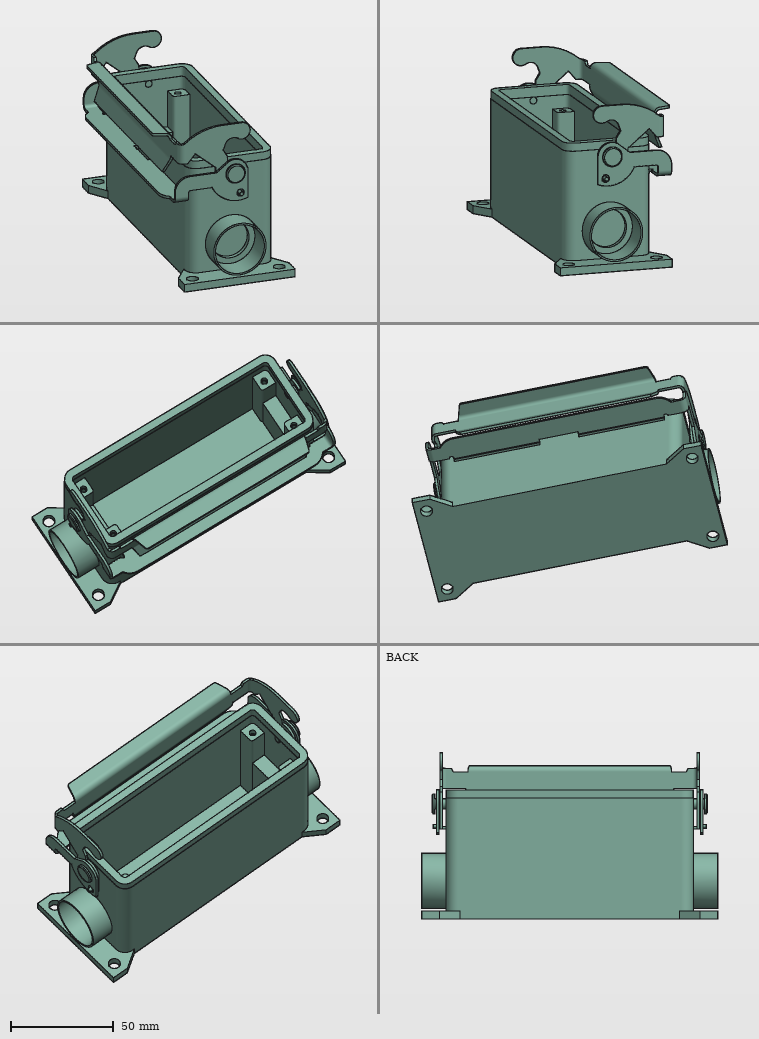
import cadquery as cq
import math

LENGTH = 144.0
BASE_WIDTH = 57.3
BASE_HEIGHT = 4.0
TAB_FLAT = 8.8
TAB_REACH = 18.7
MOUNT_HOLE_X = 66.2
MOUNT_HOLE_Y = 22.5
MOUNT_HOLE_D = 5.8

BODY_LENGTH = 120.4
BODY_WIDTH = 44.4
BODY_HEIGHT = 62.8
BODY_CORNER_R = 5.8
WALL = 4.0
RIM_STEP = 0.1
RIM_DEPTH_OUTSIDE = 4.0
RIM_DEPTH_INSIDE = 5.0
RIM_CORNER_R = 1.7
CAVITY_CORNER_R = 2.3

POST_LENGTH = 7.9
POST_WIDTH = 8.4
POST_CORNER_R = 1.5
POST_TOP = 51.0
SCREW_X = 52.0
SCREW_Y = 13.5
SCREW_MOUTH_D = 3.2
SCREW_MOUTH_DEPTH = 2.9
SCREW_D = 2.2
SCREW_DEPTH = 14.4
LEDGE_LENGTH = 7.3

SLEEVE_Z = 18.6
SLEEVE_R = 13.5
SLEEVE_BORE_R = 12.7
SLEEVE_BORE_DEPTH = 13.4
ENTRY_R = 9.6

BODY_END = BODY_LENGTH / 2
BODY_FRONT = -BODY_WIDTH / 2
CAVITY_LENGTH = BODY_LENGTH - 2 * WALL
CAVITY_WIDTH = BODY_WIDTH - 2 * WALL
CAVITY_END = CAVITY_LENGTH / 2
LEDGE_TOP = SLEEVE_Z + SLEEVE_R

SHEET = 1.3
SHEET_GAP = 0.5
BEND_R = 3.0
INNER_BEND_R = BEND_R - SHEET
PIVOT_Z = 56.0
PIVOT_PIN_R = 1.7
COLLAR_R = 2.6
COLLAR_LENGTH = 1.6
RIVET_HEAD_R = 4.9
RIVET_HEAD_GAP = 0.7
RIVET_HEAD_THICKNESS = 1.5
RIVET_HEAD_CHAMFER = 0.6
STOP_Y = 3.0
STOP_Z = 45.0
STOP_R = 1.0
STOP_LENGTH = 3.3
STOP_HOLE_R = 1.9

HOOK_INSIDE = BODY_END + COLLAR_LENGTH
HOOK_OUTSIDE = HOOK_INSIDE + SHEET
ARM_INSIDE = HOOK_OUTSIDE + SHEET_GAP
ARM_OUTSIDE = ARM_INSIDE + SHEET

HOOK_LUG_BACK = 5.8
LUG_BOTTOM = 43.8
TIP_R = 4.3
TIP_Y = 4.3
HOOK_TOP = 81.0
CATCH_R = 4.6
CATCH_Z = 69.1
BACK_EDGE_START = (-25.5, 73.7)
BACK_EDGE_MIDDLE = (-16.4, 79.0)
BACK_EDGE_END_Y = -5.9
CATCH_END = (-4.5, 70.3)
THROAT = (-5.3, 68.0)
NECK_TOP = (-3.2, 64.5)
NECK_BOTTOM = (-3.0, 61.0)
LUG_TOP = (2.9, 61.0)
LUG_HEEL = (-6.5, 47.5)
LUG_FRONT_BOTTOM = (-9.0, 54.3)
LUG_FRONT_TOP = (-9.0, 59.0)
GAP_PEAK = (-19.9, 68.0)
GAP_FRONT_Y = -23.8
FRONT_Y = -28.1
FRONT_TOP = 73.3
FRONT_BOTTOM = 63.4
NOTCH_HALF_TOP = 57.5
NOTCH_HALF_BOTTOM = 56.6
FLANGE_TOP = 74.6
NOTCH_BOTTOM = FLANGE_TOP - BEND_R
FLANGE_Y = -35.9
FLANGE_HALF_BACK = 49.5
FLANGE_HALF_FRONT = 46.8
SKIRT_BEND_Z = 61.5
SKIRT_TIP_Y = -31.4
SKIRT_TIP_Z = 54.5
SKIRT_HALF_TOP = 50.7
SKIRT_HALF_BOTTOM = 47.7
SKIRT_BEND_R = 2.2
FLANGE_CORNER_R = 1.5

ARM_TOP = 57.2
ARM_BOTTOM = 49.8
LEG_BACK = -23.9
LEG_FRONT = -30.8
ARM_CORNER_R = 7.5
ARM_HEAD_R = 6.9
ARM_SHOULDER_Y = -9.5
ARM_SHOULDER_TOP = (-3.0, 62.2)
ARM_HEAD_ANGLE = 60
ARM_HEEL_BACK_Z = 42.2
ARM_HEEL_MIDDLE = (-5.5, 43.0)
ARM_HEEL_FRONT_Y = -11.7
LEG_CORNER_R = 1.0
BAR_BOTTOM = 43.8
BAR_FRONT = -34.4
BAR_STEP_HALF = 57.5
BAR_WIDE_HALF = 50.8
BAR_ARC_X = 54.6
BAR_ARC_Y = -33.4
RELIEF_HALF = 9.6
RELIEF_Y = -24.8
LIP_END = 52.4
LIP_RELIEF_R = 1.0
LIP_BOTTOM = 42.9
LIP_Y = -22.3
LIP_THICKNESS = 1.2
LIP_BEND_MIDDLE = (-22.8, 44.6)
LIP_BEND_END_Z = 43.8

BAR_TOP = BAR_BOTTOM + SHEET
FRONT_INSIDE = FRONT_Y + SHEET


def block(x0, x1, y0, y1, z0, z1):
    """Box between two opposite corners."""
    return cq.Workplane("XY").box(x1 - x0, y1 - y0, z1 - z0, centered=False).translate((x0, y0, z0))


def rod(side, start, length, radius, y, z):
    """Cylinder along X on one side of the part, running outward from the distance `start`."""
    plane = cq.Workplane("YZ", origin=(side * start, y, z))
    return plane.circle(radius).extrude(side * length)


def at_side(solid, side):
    """Leave a part of the +X side in place, or mirror it to the -X side."""
    return solid if side > 0 else solid.mirror("YZ")


def base_tab(side):
    end = LENGTH / 2
    half = BASE_WIDTH / 2
    outline = [
        (end, half),
        (end - TAB_FLAT, half),
        (end - TAB_REACH, -BODY_FRONT),
        (end - TAB_REACH, BODY_FRONT),
        (end - TAB_FLAT, -half),
        (end, -half),
    ]
    tab = cq.Workplane("XY").polyline(outline).close().extrude(BASE_HEIGHT)
    holes = [(MOUNT_HOLE_X, MOUNT_HOLE_Y), (MOUNT_HOLE_X, -MOUNT_HOLE_Y)]
    tab = tab.faces(">Z").workplane(origin=(0, 0, BASE_HEIGHT)).pushPoints(holes).hole(MOUNT_HOLE_D)
    return at_side(tab, side)


def rounded_box(length, width, corner, bottom, top):
    box = cq.Workplane("XY").workplane(offset=bottom).rect(length, width).extrude(top - bottom)
    return box.edges("|Z").fillet(corner)


def outer_walls():
    step_z = BODY_HEIGHT - RIM_DEPTH_OUTSIDE
    lower = rounded_box(BODY_LENGTH, BODY_WIDTH, BODY_CORNER_R, 0, step_z)
    rim_length = BODY_LENGTH - 2 * RIM_STEP
    rim_width = BODY_WIDTH - 2 * RIM_STEP
    rim = rounded_box(rim_length, rim_width, BODY_CORNER_R - RIM_STEP, step_z, BODY_HEIGHT)
    return lower.union(rim)


def cavity():
    step_z = BODY_HEIGHT - RIM_DEPTH_INSIDE
    mouth = rounded_box(CAVITY_LENGTH, CAVITY_WIDTH, RIM_CORNER_R, step_z, BODY_HEIGHT)
    lower_length = CAVITY_LENGTH + 2 * RIM_STEP
    lower_width = CAVITY_WIDTH + 2 * RIM_STEP
    lower = rounded_box(lower_length, lower_width, CAVITY_CORNER_R, BASE_HEIGHT, step_z)
    return mouth.union(lower)


def screw_post(side_x, side_y):
    half_width = CAVITY_WIDTH / 2
    inner_x = CAVITY_END - POST_LENGTH
    inner_y = half_width - POST_WIDTH
    overlap = WALL / 2
    post = block(inner_x, CAVITY_END + overlap, inner_y, half_width + overlap, BASE_HEIGHT, POST_TOP)
    post = post.edges("|Z and <X and <Y").fillet(POST_CORNER_R)
    top = cq.Workplane("XY", origin=(SCREW_X, SCREW_Y, POST_TOP))
    mouth = top.circle(SCREW_MOUTH_D / 2).extrude(-SCREW_MOUTH_DEPTH)
    thread = top.circle(SCREW_D / 2).extrude(-SCREW_DEPTH)
    post = at_side(post.cut(mouth).cut(thread), side_x)
    return post if side_y > 0 else post.mirror("XZ")


def end_ledge(side):
    """Low thick wall between two posts, which closes the cable entry."""
    half_gap = CAVITY_WIDTH / 2 - POST_WIDTH
    inner = CAVITY_END - LEDGE_LENGTH
    ledge = block(inner, CAVITY_END + WALL / 2, -half_gap, half_gap, BASE_HEIGHT, LEDGE_TOP)
    return at_side(ledge, side)


def make_housing():
    housing = outer_walls().cut(cavity())
    bore_end = LENGTH / 2 - SLEEVE_BORE_DEPTH
    for side in (-1, 1):
        housing = housing.union(base_tab(side)).union(end_ledge(side))
        for side_y in (-1, 1):
            housing = housing.union(screw_post(side, side_y))
        sleeve_start = BODY_END - WALL / 2
        sleeve = rod(side, sleeve_start, LENGTH / 2 - sleeve_start, SLEEVE_R, 0, SLEEVE_Z)
        housing = housing.union(sleeve)
        housing = housing.cut(rod(side, bore_end, SLEEVE_BORE_DEPTH, SLEEVE_BORE_R, 0, SLEEVE_Z))
        housing = housing.cut(rod(side, CAVITY_END, WALL, ENTRY_R, 0, SLEEVE_Z))
        housing = housing.cut(rod(side, CAVITY_END, WALL, PIVOT_PIN_R, 0, PIVOT_Z))
    return housing


def hook_outline():
    """Side outline of the hooks and of the front wall, extruded over the whole length."""
    tip_z = HOOK_TOP - TIP_R
    share = TIP_R / (TIP_R + CATCH_R)
    blend = (TIP_Y * (1 - share), tip_z + share * (CATCH_Z - tip_z))
    outline = (
        cq.Workplane("YZ", origin=(-HOOK_OUTSIDE, 0, 0))
        .moveTo(FRONT_Y, FRONT_BOTTOM)
        .lineTo(FRONT_Y, FRONT_TOP)
        .lineTo(FRONT_INSIDE, FRONT_TOP)
        .lineTo(*BACK_EDGE_START)
        .threePointArc(BACK_EDGE_MIDDLE, (BACK_EDGE_END_Y, HOOK_TOP))
        .lineTo(TIP_Y, HOOK_TOP)
        .threePointArc((TIP_Y + TIP_R, tip_z), blend)
        .threePointArc((0, CATCH_Z + CATCH_R), CATCH_END)
        .lineTo(*THROAT)
        .lineTo(*NECK_TOP)
        .lineTo(*NECK_BOTTOM)
        .threePointArc(LUG_TOP, (HOOK_LUG_BACK, PIVOT_Z))
        .lineTo(HOOK_LUG_BACK, LUG_BOTTOM)
        .lineTo(0, LUG_BOTTOM)
        .threePointArc(LUG_HEEL, LUG_FRONT_BOTTOM)
        .lineTo(*LUG_FRONT_TOP)
        .lineTo(*GAP_PEAK)
        .lineTo(GAP_FRONT_Y, FRONT_BOTTOM)
        .close()
    )
    return outline.extrude(2 * HOOK_OUTSIDE)


def hook_yoke():
    """Two hooks and the front wall, bent from one strip."""
    back = TIP_Y + TIP_R
    outer = block(-HOOK_OUTSIDE, HOOK_OUTSIDE, FRONT_Y, back, LUG_BOTTOM, HOOK_TOP)
    outer = outer.edges("|Z and <Y").fillet(BEND_R)
    inner = block(-HOOK_INSIDE, HOOK_INSIDE, FRONT_INSIDE, back, LUG_BOTTOM, HOOK_TOP)
    inner = inner.edges("|Z and <Y").fillet(INNER_BEND_R)
    yoke = outer.cut(inner).intersect(hook_outline())
    notch = (
        cq.Workplane("XZ", origin=(0, FRONT_INSIDE, 0))
        .polyline([
            (-NOTCH_HALF_BOTTOM, NOTCH_BOTTOM),
            (NOTCH_HALF_BOTTOM, NOTCH_BOTTOM),
            (NOTCH_HALF_TOP, FRONT_TOP),
            (-NOTCH_HALF_TOP, FRONT_TOP),
        ])
        .close()
        .extrude(SHEET)
    )
    return yoke.cut(notch)


def top_flange():
    """Grip flange bent forward from the top of the front wall."""
    diagonal = math.sqrt(0.5)
    centre_y = FRONT_INSIDE - BEND_R
    section = (
        cq.Workplane("YZ", origin=(-FLANGE_HALF_BACK, 0, 0))
        .moveTo(FRONT_INSIDE, NOTCH_BOTTOM)
        .threePointArc(
            (centre_y + BEND_R * diagonal, NOTCH_BOTTOM + BEND_R * diagonal), (centre_y, FLANGE_TOP)
        )
        .lineTo(FLANGE_Y, FLANGE_TOP)
        .lineTo(FLANGE_Y, FLANGE_TOP - SHEET)
        .lineTo(centre_y, FLANGE_TOP - SHEET)
        .threePointArc(
            (centre_y + INNER_BEND_R * diagonal, NOTCH_BOTTOM + INNER_BEND_R * diagonal),
            (FRONT_Y, NOTCH_BOTTOM),
        )
        .close()
        .extrude(2 * FLANGE_HALF_BACK)
    )
    plan = (
        cq.Workplane("XY", origin=(0, 0, NOTCH_BOTTOM))
        .polyline([
            (-FLANGE_HALF_BACK, FRONT_INSIDE),
            (FLANGE_HALF_BACK, FRONT_INSIDE),
            (FLANGE_HALF_FRONT, FLANGE_Y),
            (-FLANGE_HALF_FRONT, FLANGE_Y),
        ])
        .close()
        .extrude(FLANGE_TOP - NOTCH_BOTTOM)
        .edges("|Z and <Y")
        .fillet(FLANGE_CORNER_R)
    )
    return section.intersect(plan)


def skirt():
    """Lower edge of the front wall, bent outward and narrowing downward."""
    lean_y = SKIRT_TIP_Y - FRONT_Y
    lean_z = SKIRT_TIP_Z - SKIRT_BEND_Z
    lean = math.hypot(lean_y, lean_z)
    back_tip = (SKIRT_TIP_Y - SHEET * lean_z / lean, SKIRT_TIP_Z + SHEET * lean_y / lean)
    back_bend_z = SKIRT_BEND_Z - SHEET * (lean + lean_z) / -lean_y
    section = (
        cq.Workplane("YZ", origin=(-SKIRT_HALF_TOP, 0, 0))
        .polyline([
            (FRONT_INSIDE, FRONT_BOTTOM),
            (FRONT_Y, FRONT_BOTTOM),
            (FRONT_Y, SKIRT_BEND_Z),
            (SKIRT_TIP_Y, SKIRT_TIP_Z),
            back_tip,
            (FRONT_INSIDE, back_bend_z),
        ])
        .close()
        .extrude(2 * SKIRT_HALF_TOP)
    )
    front_bend = cq.selectors.NearestToPointSelector((0, FRONT_Y, SKIRT_BEND_Z))
    back_bend = cq.selectors.NearestToPointSelector((0, FRONT_INSIDE, back_bend_z))
    section = section.edges(front_bend).fillet(SKIRT_BEND_R)
    section = section.edges(back_bend).fillet(SKIRT_BEND_R + SHEET)
    face = (
        cq.Workplane("XZ", origin=(0, FRONT_INSIDE, 0))
        .polyline([
            (-SKIRT_HALF_TOP, FRONT_BOTTOM),
            (SKIRT_HALF_TOP, FRONT_BOTTOM),
            (SKIRT_HALF_BOTTOM, back_tip[1]),
            (-SKIRT_HALF_BOTTOM, back_tip[1]),
        ])
        .close()
        .extrude(FRONT_INSIDE - SKIRT_TIP_Y)
        .edges("|Y and <Z")
        .fillet(FLANGE_CORNER_R)
    )
    return section.intersect(face)


def side_arm(side):
    """Flat arm outside a hook, from the pivot to the leg that carries the crossbar."""
    bend_z = BAR_BOTTOM + BEND_R
    angle = math.radians(ARM_HEAD_ANGLE)
    head_arc = (ARM_HEAD_R * math.cos(angle), PIVOT_Z + ARM_HEAD_R * math.sin(angle))
    arm = (
        cq.Workplane("YZ", origin=(ARM_INSIDE, 0, 0))
        .moveTo(LEG_FRONT, bend_z)
        .lineTo(LEG_FRONT, ARM_TOP - ARM_CORNER_R)
        .tangentArcPoint((LEG_FRONT + ARM_CORNER_R, ARM_TOP), relative=False)
        .lineTo(ARM_SHOULDER_Y, ARM_TOP)
        .lineTo(*ARM_SHOULDER_TOP)
        .threePointArc(head_arc, (ARM_HEAD_R, PIVOT_Z))
        .lineTo(ARM_HEAD_R, ARM_HEEL_BACK_Z)
        .threePointArc(ARM_HEEL_MIDDLE, (ARM_HEEL_FRONT_Y, ARM_BOTTOM))
        .lineTo(LEG_BACK + LEG_CORNER_R, ARM_BOTTOM)
        .tangentArcPoint((LEG_BACK, ARM_BOTTOM - LEG_CORNER_R), relative=False)
        .lineTo(LEG_BACK, bend_z)
        .close()
        .extrude(SHEET)
    )
    arm = arm.cut(rod(1, ARM_INSIDE, SHEET, STOP_HOLE_R, STOP_Y, STOP_Z))
    return at_side(arm, side)


def crossbar():
    """Horizontal bar between the legs, with a bend up to each leg."""
    leg_top = BAR_BOTTOM + BEND_R + SHEET
    outer = block(-ARM_OUTSIDE, ARM_OUTSIDE, LEG_FRONT, LEG_BACK, BAR_BOTTOM, leg_top)
    outer = outer.edges("|Y and <Z").fillet(BEND_R)
    inner = block(-ARM_INSIDE, ARM_INSIDE, LEG_FRONT, LEG_BACK, BAR_TOP, leg_top)
    inner = inner.edges("|Y and <Z").fillet(INNER_BEND_R)
    apron = (
        cq.Workplane("XY", origin=(0, 0, BAR_BOTTOM))
        .moveTo(BAR_STEP_HALF, LEG_BACK)
        .lineTo(-BAR_STEP_HALF, LEG_BACK)
        .lineTo(-BAR_STEP_HALF, LEG_FRONT)
        .threePointArc((-BAR_ARC_X, BAR_ARC_Y), (-BAR_WIDE_HALF, BAR_FRONT))
        .lineTo(BAR_WIDE_HALF, BAR_FRONT)
        .threePointArc((BAR_ARC_X, BAR_ARC_Y), (BAR_STEP_HALF, LEG_FRONT))
        .close()
        .extrude(SHEET)
    )
    relief = block(-RELIEF_HALF, RELIEF_HALF, RELIEF_Y, LEG_BACK, BAR_BOTTOM, BAR_TOP)
    lip_ends = [(-LIP_END - LIP_RELIEF_R, LEG_BACK), (LIP_END + LIP_RELIEF_R, LEG_BACK)]
    corner_reliefs = (
        cq.Workplane("XY", origin=(0, 0, BAR_BOTTOM))
        .pushPoints(lip_ends)
        .circle(LIP_RELIEF_R)
        .extrude(SHEET)
    )
    return outer.cut(inner).union(apron).cut(relief).cut(corner_reliefs)


def spring_lip(side):
    """Downward lip along the back edge of the crossbar."""
    lip_back = LIP_Y - LIP_THICKNESS
    lip = (
        cq.Workplane("YZ", origin=(RELIEF_HALF, 0, 0))
        .moveTo(LEG_BACK, BAR_TOP)
        .threePointArc(LIP_BEND_MIDDLE, (LIP_Y, LIP_BEND_END_Z))
        .lineTo(LIP_Y, LIP_BOTTOM)
        .lineTo(lip_back, LIP_BOTTOM)
        .lineTo(lip_back, BAR_BOTTOM)
        .lineTo(LEG_BACK, BAR_BOTTOM)
        .close()
        .extrude(LIP_END - RELIEF_HALF)
    )
    return at_side(lip, side)


def pivot_rivet(side):
    """Rivet with its pin in the housing wall, its collar inside the hook and its head outside the arm."""
    pin = rod(side, CAVITY_END, ARM_OUTSIDE - CAVITY_END, PIVOT_PIN_R, 0, PIVOT_Z)
    shank = rod(side, BODY_END, ARM_OUTSIDE + RIVET_HEAD_GAP - BODY_END, COLLAR_R, 0, PIVOT_Z)
    head = rod(side, ARM_OUTSIDE + RIVET_HEAD_GAP, RIVET_HEAD_THICKNESS, RIVET_HEAD_R, 0, PIVOT_Z)
    head = head.faces(">X" if side > 0 else "<X").chamfer(RIVET_HEAD_CHAMFER)
    return pin.union(shank).union(head)


def stop_stud(side):
    """Small stud on a hook, standing in a larger hole of the arm."""
    start = HOOK_OUTSIDE - SHEET / 2
    return rod(side, start, STOP_LENGTH + SHEET / 2, STOP_R, STOP_Y, STOP_Z)


def make_lever():
    lever = hook_yoke().union(top_flange()).union(skirt()).union(crossbar())
    for side in (-1, 1):
        for piece in (side_arm(side), spring_lip(side), pivot_rivet(side), stop_stud(side)):
            lever = lever.union(piece)
    return lever


housing = make_housing()
lever = make_lever()

result = cq.Compound.makeCompound([housing.val(), lever.val()])